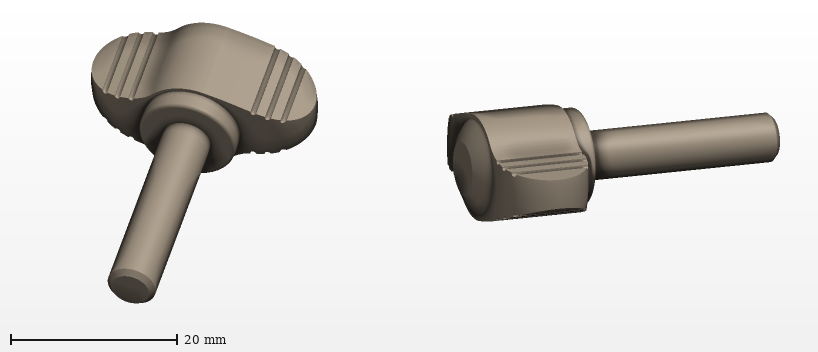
import cadquery as cq
import math

stud_radius = 3.0
stud_length = 25.0
stud_chamfer = 0.65

collar_radius = 6.0
collar_height = 2.4
collar_fillet = 0.5
wing_width = 11.0
wing_span = 28.0
cap_height = 1.6
cap_base_radius = 5.9
cap_top_radius = 3.3

hub_diameter = 13.0
crest_angle = 78.5
hollow_angle = 139.3
hollow_radius = 4.75
grip_slope = math.radians(10.3)
convex_tip_height = 2.05

groove_radius = 0.35
first_groove_x = 7.65
groove_pitch = 1.75
groove_count = 3

half_span = wing_span / 2
hub_radius = hub_diameter / 2
wing_start = collar_height
wing_end = wing_start + wing_width
cap_end = wing_end + cap_height


def polar(radius, degrees):
    angle = math.radians(degrees)
    return radius * math.cos(angle), radius * math.sin(angle)


def opposite(point):
    """Turn an outline point half a turn about the axis."""
    return -point[0], -point[1]


convex_tip = (half_span, convex_tip_height)
crest = polar(hub_radius, crest_angle)
hub_middle = polar(hub_radius, (crest_angle + hollow_angle) / 2)
hub_end = polar(hub_radius, hollow_angle)

hollow_center = polar(hub_radius + hollow_radius, hollow_angle)


def on_hollow(degrees):
    offset = polar(hollow_radius, degrees)
    return hollow_center[0] + offset[0], hollow_center[1] + offset[1]


hollow_start_angle = hollow_angle - 180
hollow_end_angle = math.degrees(grip_slope) - 90
hollow_middle = on_hollow((hollow_start_angle + hollow_end_angle) / 2)
grip_start = on_hollow(hollow_end_angle)


def grip_height(x):
    """Height of the straight grip face on the -X wing."""
    return grip_start[1] + (x - grip_start[0]) * math.tan(grip_slope)


straight_tip = (-half_span, grip_height(-half_span))

crest_direction = polar(1, crest_angle)
chord = (convex_tip[0] - crest[0], convex_tip[1] - crest[1])
chord_drop = -(chord[0] * crest_direction[0] + chord[1] * crest_direction[1])
flank_radius = (chord[0] ** 2 + chord[1] ** 2) / (2 * chord_drop)
flank_center = polar(hub_radius - flank_radius, crest_angle)


def flank_height(x):
    """Height of the convex flank on the +X wing."""
    return flank_center[1] + math.sqrt(flank_radius ** 2 - (x - flank_center[0]) ** 2)


flank_middle_x = (crest[0] + convex_tip[0]) / 2
flank_middle = (flank_middle_x, flank_height(flank_middle_x))


def make_wing():
    outline = (
        cq.Workplane("XZ", origin=(0, wing_start, 0))
        .moveTo(*convex_tip)
        .threePointArc(flank_middle, crest)
        .threePointArc(hub_middle, hub_end)
        .threePointArc(hollow_middle, grip_start)
        .lineTo(*straight_tip)
        .lineTo(*opposite(convex_tip))
        .threePointArc(opposite(flank_middle), opposite(crest))
        .threePointArc(opposite(hub_middle), opposite(hub_end))
        .threePointArc(opposite(hollow_middle), opposite(grip_start))
        .lineTo(*opposite(straight_tip))
        .close()
    )
    blank = outline.extrude(-wing_width)

    upper_grooves = []
    for index in range(groove_count):
        x = first_groove_x + index * groove_pitch
        upper_grooves.append((x, flank_height(x)))
        upper_grooves.append((-x, grip_height(-x)))
    all_grooves = upper_grooves + [opposite(point) for point in upper_grooves]
    grooves = (
        cq.Workplane("XZ", origin=(0, wing_start, 0))
        .pushPoints(all_grooves)
        .circle(groove_radius)
        .extrude(-wing_width)
    )
    return blank.cut(grooves).intersect(make_round_rim())


def make_round_rim():
    """Disc about Y with a fully rounded rim, which shapes the wing tips."""
    rim_start = half_span - wing_width / 2
    return (
        cq.Workplane("XY")
        .moveTo(0, wing_start)
        .lineTo(rim_start, wing_start)
        .threePointArc((half_span, (wing_start + wing_end) / 2), (rim_start, wing_end))
        .lineTo(0, wing_end)
        .close()
        .revolve(360, (0, 0, 0), (0, 1, 0))
    )


def make_cap():
    """Flat-topped slice of a sphere, continued as a plain core inside the wing."""
    center_depth = (cap_base_radius ** 2 - cap_top_radius ** 2 + cap_height ** 2) / (2 * cap_height)
    sphere_radius = math.hypot(cap_top_radius, center_depth)
    middle_depth = cap_height / 2
    middle_radius = math.sqrt(sphere_radius ** 2 - (center_depth - middle_depth) ** 2)
    return (
        cq.Workplane("XY")
        .moveTo(0, wing_start)
        .lineTo(cap_base_radius, wing_start)
        .lineTo(cap_base_radius, wing_end)
        .threePointArc((middle_radius, cap_end - middle_depth), (cap_top_radius, cap_end))
        .lineTo(0, cap_end)
        .close()
        .revolve(360, (0, 0, 0), (0, 1, 0))
    )


def make_collar():
    collar = cq.Workplane("XZ").circle(collar_radius).extrude(-collar_height)
    return collar.faces("<Y").edges().fillet(collar_fillet)


def make_stud():
    stud = cq.Workplane("XZ").circle(stud_radius).extrude(stud_length)
    return stud.faces("<Y").edges().chamfer(stud_chamfer)


result = make_wing().union(make_cap()).union(make_collar()).union(make_stud())